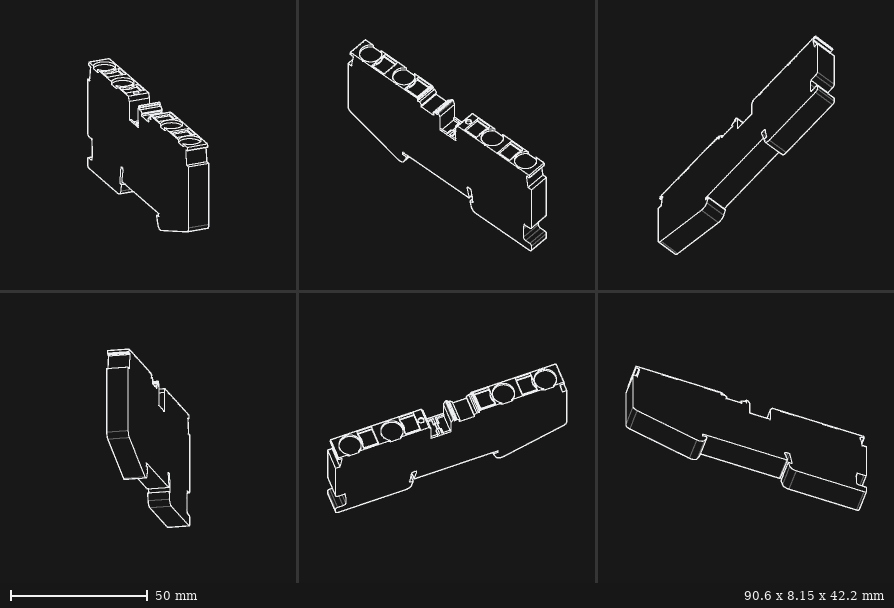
import cadquery as cq
length = 90.6
width = 8.15
height = 42.2
head_centre = length / 2

shoulder_z = 35.0
shoulder_depth = 1.7
neck_depth = 2.5
neck_z = 40.5
lip_under_z = 40.9
lip_root_depth = 2.3
lip_tip_z = 41.1
lip_tip_inset = 0.9
lip_inset = 1.2

wall_bottom_z = 12.6
recess_x = 4.0
recess_top_x = 3.7
recess_taper_z = 9.8
foot_top_z = 4.1

foot_heel_x = 29.35
foot_lip_x = 30.4
foot_lip_z = 4.7
slot_foot_x = 28.9
slot_top_z = 11.7
slot_top_left_x = 29.9
slot_top_right_x = 32.0
slot_mouth_x = 30.6
rail_z = 6.1
rail_end_x = 63.6
hook_top_z = 4.9
hook_tip_x = 62.0
hook_tip_z = 4.2
hook_heel = (63.7, -0.6)
ramp_end_z = 9.1

slot_left_x = 37.4
slot_right_x = 45.3
slot_floor_z = 33.25
slot_flare = 0.8
flare_bottom_z = 40.5
tip_shoulder_x = 45.9
tip_shoulder_z = 41.9
tip_x = 46.2

cradle_x = 51.5
cradle_top_half = 4.9
barb_half, barb_drop = 4.35, 0.5
notch_drop = 1.5
step_half, step_drop = 3.8, 1.1
lower_tip_half, lower_tip_drop = 2.7, 2.1
cradle_wall_half, cradle_wall_drop = 3.0, 2.6
cradle_floor_drop = 3.3

terminal_pitch = 16.4
outer_terminal_offset = 38.2
cup_radius = 4.1
cup_y = -0.45
recess_depth = 1.1
pocket_near = 4.3
pocket_far = 10.0
pocket_half = 3.2
pocket_bevel = 0.5
bevel_drop = 0.5
inner_end_bevel = 0.5
outer_end_bevel = 0.3
rim_radius = 4.8

pin_diameter = 2.2
pin_x = 35.0
pin_y = -0.2
pin_depth = 0.8

window_half = 3.35
window_depth = 1.1
bar_left_x = 41.0
bar_right_x = 41.9
bar_ramp = 0.6
bar_ramp_drop = 0.45
groove_half = 1.3
groove_depth = 0.45


def cradle_side(side):
    """Corners of one cradle flank, from the top face down to the floor."""
    steps = [
        (cradle_top_half, 0),
        (barb_half, barb_drop),
        (cradle_top_half, barb_drop),
        (cradle_top_half, notch_drop),
        (step_half, step_drop),
        (lower_tip_half, lower_tip_drop),
        (cradle_wall_half, cradle_wall_drop),
        (cradle_wall_half, cradle_floor_drop),
    ]
    return [(cradle_x + side * half, height - drop) for half, drop in steps]


def make_body():
    """Plate with the full side outline, corners rounded."""
    left_head = [
        (shoulder_depth, shoulder_z),
        (neck_depth, neck_z),
        (lip_root_depth, lip_under_z),
        (lip_inset, lip_under_z),
        (lip_tip_inset, lip_tip_z),
        (lip_inset, height),
    ]
    right_head = [(2 * head_centre - x, z) for x, z in reversed(left_head)]
    centre_slot = [
        (slot_left_x - slot_flare, height),
        (slot_left_x, flare_bottom_z),
        (slot_left_x, slot_floor_z),
        (slot_right_x, slot_floor_z),
        (slot_right_x, flare_bottom_z),
        (tip_shoulder_x, tip_shoulder_z),
        (tip_x, height),
    ]
    left_side = [
        (0, 0),
        (0, foot_top_z),
        (recess_x, foot_top_z),
        (recess_x, recess_taper_z),
        (recess_top_x, wall_bottom_z),
        (0, wall_bottom_z),
        (0, shoulder_z),
    ]
    underside = [
        (length, shoulder_z),
        (length, ramp_end_z),
        hook_heel,
        (hook_tip_x, hook_tip_z),
        (hook_tip_x, hook_top_z),
        (rail_end_x, hook_top_z),
        (rail_end_x, rail_z),
        (slot_mouth_x, rail_z),
        (slot_top_right_x, slot_top_z),
        (slot_top_left_x, slot_top_z),
        (slot_foot_x, foot_lip_z),
        (foot_lip_x, foot_lip_z),
        (foot_heel_x, 0),
    ]
    cradle = cradle_side(-1) + cradle_side(1)[::-1]
    outline = left_side + left_head + centre_slot + cradle + right_head + underside
    body = cq.Workplane("XZ").polyline(outline).close().extrude(width / 2, both=True)

    rounded_corners = [
        ((0, 0), 1.1),
        ((0, foot_top_z), 0.8),
        ((recess_x, foot_top_z), 1.1),
        ((0, wall_bottom_z), 1.1),
        ((foot_heel_x, 0), 2.5),
        ((slot_foot_x, foot_lip_z), 0.45),
        ((slot_top_left_x, slot_top_z), 0.7),
        ((slot_top_right_x, slot_top_z), 0.7),
        ((slot_mouth_x, rail_z), 0.4),
        ((hook_tip_x, hook_top_z), 0.4),
        (hook_heel, 2.4),
        ((length, ramp_end_z), 2.4),
    ]
    for (x, z), radius in rounded_corners:
        body = body.edges(cq.NearestToPointSelector((x, 0, z))).fillet(radius)
    return body


def box(x_start, x_end, half_width, z_bottom, z_top):
    """Block centred on Y = 0."""
    return (
        cq.Workplane("XY", origin=((x_start + x_end) / 2, 0, z_bottom))
        .rect(x_end - x_start, 2 * half_width)
        .extrude(z_top - z_bottom)
    )


def terminal(cup_x, side, end_bevel):
    """Cutter for one round recess and the bevelled pocket on the given side of it."""
    floor_z = height - recess_depth
    bevel_z = height - bevel_drop
    near_x = cup_x + side * pocket_near
    far_x = cup_x + side * pocket_far
    far_top_x = far_x + side * end_bevel
    rim_x = cup_x + side * rim_radius

    pocket = box(min(near_x, far_x), max(near_x, far_x), pocket_half, floor_z, height)
    side_bevels = (
        cq.Workplane("YZ", origin=(near_x, 0, 0))
        .polyline([
            (-pocket_half, bevel_z),
            (pocket_half, bevel_z),
            (pocket_half + pocket_bevel, height),
            (-pocket_half - pocket_bevel, height),
        ])
        .close()
        .extrude(far_top_x - near_x)
    )
    pocket = pocket.union(side_bevels)
    if end_bevel:
        slope = (
            cq.Workplane("XZ")
            .polyline([
                (near_x, floor_z),
                (far_x, floor_z),
                (far_x, bevel_z),
                (far_top_x, height),
                (near_x, height),
            ])
            .close()
            .extrude(width, both=True)
        )
        pocket = pocket.intersect(slope)

    rim = cq.Workplane("XY", origin=(cup_x, 0, floor_z)).circle(rim_radius).extrude(recess_depth)
    rim_profile = (
        cq.Workplane("XZ")
        .polyline([(near_x, floor_z), (rim_x, floor_z), (rim_x, bevel_z), (near_x, height)])
        .close()
        .extrude(width, both=True)
    )
    cup = cq.Workplane("XY", origin=(cup_x, cup_y, floor_z)).circle(cup_radius).extrude(recess_depth)
    return pocket.cut(rim.intersect(rim_profile)).union(cup)


def cut_terminals(body):
    """Two terminals at each end; only the pockets on the right have a sloped far end."""
    end_bevels = ((-1, 0, 0), (1, outer_end_bevel, inner_end_bevel))
    for side, outer_bevel, inner_bevel in end_bevels:
        outer_x = head_centre + side * outer_terminal_offset
        inner_x = outer_x - side * terminal_pitch
        body = body.cut(terminal(outer_x, -side, outer_bevel))
        body = body.cut(terminal(inner_x, -side, inner_bevel))
    return body


def bar_ramp_solid(foot_x, bar_x, y_start, y_end):
    """Block with a sloping top that thickens the cross bar between the two windows."""
    bottom_z = slot_floor_z - window_depth
    ramp_z = slot_floor_z - bar_ramp_drop
    return (
        cq.Workplane("XZ", origin=(0, y_start, 0))
        .polyline([(foot_x, bottom_z), (bar_x, bottom_z), (bar_x, slot_floor_z), (foot_x, ramp_z)])
        .close()
        .extrude(y_start - y_end)
    )


def cut_slot_floor(body):
    """Two windows in the slot floor, divided by a grooved bar with ramps."""
    bottom_z = slot_floor_z - window_depth
    windows = box(slot_left_x, bar_left_x, window_half, bottom_z, slot_floor_z)
    windows = windows.union(box(bar_right_x, slot_right_x, window_half, bottom_z, slot_floor_z))
    for y_start, y_end in ((-window_half, -groove_half), (groove_half, window_half)):
        windows = windows.cut(bar_ramp_solid(bar_left_x - bar_ramp, bar_left_x, y_start, y_end))
        windows = windows.cut(bar_ramp_solid(bar_right_x + bar_ramp, bar_right_x, y_start, y_end))
    groove = (
        cq.Workplane("YZ", origin=(bar_left_x, 0, 0))
        .moveTo(-groove_half, slot_floor_z)
        .threePointArc((0, slot_floor_z - groove_depth), (groove_half, slot_floor_z))
        .close()
        .extrude(bar_right_x - bar_left_x)
    )
    return body.cut(windows).cut(groove)


def cut_pin_hole(body):
    """Small blind hole beside the centre slot."""
    hole = (
        cq.Workplane("XY", origin=(pin_x, pin_y, height - pin_depth))
        .circle(pin_diameter / 2)
        .extrude(pin_depth)
    )
    return body.cut(hole)


result = cut_pin_hole(cut_slot_floor(cut_terminals(make_body())))